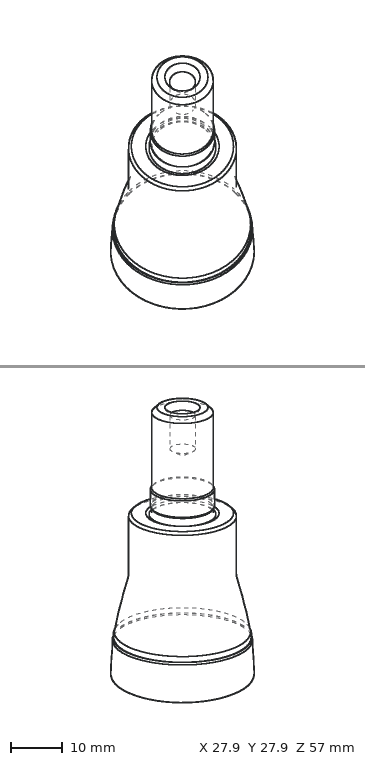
import cadquery as cq
import math

TOTAL_HEIGHT = 57.0
SEAM_LEVEL = 9.1

STEM_RADIUS = 6.0
STEM_CHAMFER = 1.0
COLLAR_RADIUS = 12.5 / 2
COLLAR_BOTTOM = 36.2
COLLAR_TOP = 40.3
COLLAR_CHAMFER_LENGTH = 0.35

SHOULDER_LEVEL = 35.0
SHOULDER_CHAMFER = 0.55
UNDERCUT_DEPTH = 0.2
UNDERCUT_FILLET = 0.5
UNDERCUT_RADIUS = 7.1

NECK_RADIUS = 21.0 / 2
NECK_BOTTOM = 22.3
FLARE_TOP = 21.1
FLARE_TOP_RADIUS = 10.65
FLARE_BOTTOM = 10.25
FLARE_BOTTOM_RADIUS = 13.2
FLARE_BULGE = 0.15
SKIRT_RADIUS = 26.9 / 2
SKIRT_EDGE_RADIUS = 13.35

BORE_RADIUS = 5.0 / 2
BORE_DEPTH = 8.55
DRILL_POINT_ANGLE = 118.0
MOUTH_RADIUS = 3.4
MOUTH_ANGLE = 60.0

FOOT_RADIUS = 27.95 / 2
WALL_BOTTOM = 1.65
WALL_TOP = 8.65
WALL_TOP_RADIUS = 13.6
BAND_RADIUS = 13.85
BAND_BOTTOM = 3.55
BAND_TOP = 4.4
LOWER_WALL_TOP = 3.15
LOWER_WALL_TOP_RADIUS = 13.9
FOOT_TOP_RADIUS = SKIRT_RADIUS
CORNER_RADIUS = 13.45
CORNER_LEVEL = 0.85
CORNER_MIDDLE = (13.85, 1.25)
SOLE_MIDDLE = (12.4, 0.35)
SOLE_FLAT_RADIUS = 10.85


def revolve_profile(profile):
    """Close a (radius, level) profile and turn it about the Z axis."""
    return profile.close().revolve(360, (0, 0, 0), (0, 1, 0))


def make_center_hole():
    """Blind drilled hole with a countersunk mouth."""
    mouth_depth = (MOUTH_RADIUS - BORE_RADIUS) / math.tan(math.radians(MOUTH_ANGLE / 2))
    bore_top = TOTAL_HEIGHT - mouth_depth
    bore_bottom = TOTAL_HEIGHT - BORE_DEPTH
    point_length = BORE_RADIUS / math.tan(math.radians(DRILL_POINT_ANGLE / 2))
    profile = (
        cq.Workplane("XZ")
        .moveTo(0, bore_bottom - point_length)
        .lineTo(BORE_RADIUS, bore_bottom)
        .lineTo(BORE_RADIUS, bore_top)
        .lineTo(MOUTH_RADIUS, TOTAL_HEIGHT)
        .lineTo(0, TOTAL_HEIGHT)
    )
    return revolve_profile(profile)


def make_body():
    """Stem, shouldered neck and flared skirt in one piece."""
    undercut_floor = SHOULDER_LEVEL - UNDERCUT_DEPTH
    fillet_inset = UNDERCUT_FILLET * (1 - math.sqrt(0.5))
    fillet_top = undercut_floor + UNDERCUT_FILLET
    flare_middle = (
        (FLARE_TOP_RADIUS + FLARE_BOTTOM_RADIUS) / 2 + FLARE_BULGE,
        (FLARE_TOP + FLARE_BOTTOM) / 2,
    )
    skirt_edge_middle = (SKIRT_RADIUS, (FLARE_BOTTOM + SEAM_LEVEL) / 2)
    profile = (
        cq.Workplane("XZ")
        .moveTo(0, TOTAL_HEIGHT)
        .lineTo(STEM_RADIUS - STEM_CHAMFER, TOTAL_HEIGHT)
        .lineTo(STEM_RADIUS, TOTAL_HEIGHT - STEM_CHAMFER)
        .lineTo(STEM_RADIUS, COLLAR_TOP)
        .lineTo(COLLAR_RADIUS, COLLAR_TOP - COLLAR_CHAMFER_LENGTH)
        .lineTo(COLLAR_RADIUS, COLLAR_BOTTOM + COLLAR_CHAMFER_LENGTH)
        .lineTo(STEM_RADIUS, COLLAR_BOTTOM)
        .lineTo(STEM_RADIUS, fillet_top)
        .threePointArc(
            (STEM_RADIUS + fillet_inset, undercut_floor + fillet_inset),
            (STEM_RADIUS + UNDERCUT_FILLET, undercut_floor),
        )
        .lineTo(UNDERCUT_RADIUS, SHOULDER_LEVEL)
        .lineTo(NECK_RADIUS - SHOULDER_CHAMFER, SHOULDER_LEVEL)
        .lineTo(NECK_RADIUS, SHOULDER_LEVEL - SHOULDER_CHAMFER)
        .lineTo(NECK_RADIUS, NECK_BOTTOM)
        .tangentArcPoint((FLARE_TOP_RADIUS, FLARE_TOP), relative=False)
        .threePointArc(flare_middle, (FLARE_BOTTOM_RADIUS, FLARE_BOTTOM))
        .threePointArc(skirt_edge_middle, (SKIRT_EDGE_RADIUS, SEAM_LEVEL))
        .lineTo(0, SEAM_LEVEL)
    )
    return revolve_profile(profile).cut(make_center_hole())


def make_foot():
    """Tapered disc with a chamfered upper rim and a rounded sole."""
    profile = (
        cq.Workplane("XZ")
        .lineTo(SOLE_FLAT_RADIUS, 0)
        .threePointArc(SOLE_MIDDLE, (CORNER_RADIUS, CORNER_LEVEL))
        .threePointArc(CORNER_MIDDLE, (FOOT_RADIUS, WALL_BOTTOM))
        .lineTo(LOWER_WALL_TOP_RADIUS, LOWER_WALL_TOP)
        .lineTo(BAND_RADIUS, BAND_BOTTOM)
        .lineTo(BAND_RADIUS, BAND_TOP)
        .lineTo(WALL_TOP_RADIUS, WALL_TOP)
        .lineTo(FOOT_TOP_RADIUS, SEAM_LEVEL)
        .lineTo(0, SEAM_LEVEL)
    )
    return revolve_profile(profile)


body = make_body()
foot = make_foot()
result = cq.Compound.makeCompound([body.val(), foot.val()])